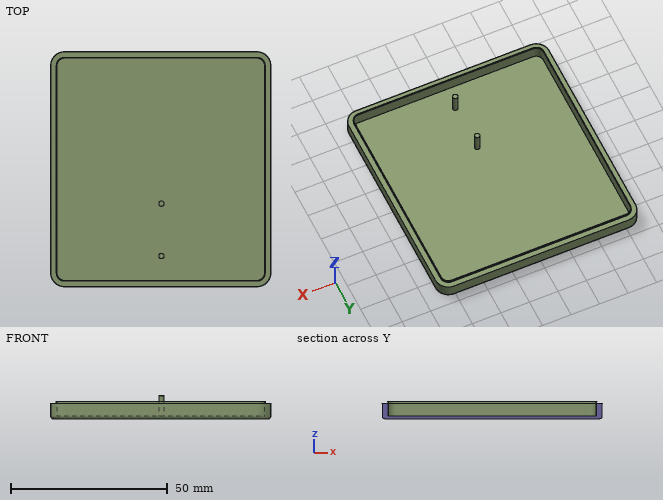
import cadquery as cq

width = 70.2
length = 74.9
body_height = 5.0
corner_radius = 4.5
bottom_fillet = 1.0

wall = 2.0
floor_thickness = 1.0
lip_setback = 1.8
lip_height = 0.6
rim_height = body_height + lip_height

pin_diameter = 1.7
pin_top = 7.5
pin_x = 0.2
front_pin_y = -27.65
pin_spacing = 16.7


def rounded_block(inset, bottom, top):
    """Block whose rounded outline lies a constant inset inside the body outline."""
    return (
        cq.Workplane("XY", origin=(0, 0, bottom))
        .rect(width - 2 * inset, length - 2 * inset)
        .extrude(top - bottom)
        .edges("|Z")
        .fillet(corner_radius - inset)
    )


def make_tray():
    body = rounded_block(0, 0, body_height).faces("<Z").edges().fillet(bottom_fillet)
    lip = rounded_block(lip_setback, floor_thickness, rim_height)
    cavity = rounded_block(wall, floor_thickness, rim_height)
    return body.union(lip).cut(cavity)


def make_pins():
    return (
        cq.Workplane("XY")
        .pushPoints([(pin_x, front_pin_y), (pin_x, front_pin_y + pin_spacing)])
        .circle(pin_diameter / 2)
        .extrude(pin_top)
    )


result = make_tray().union(make_pins())